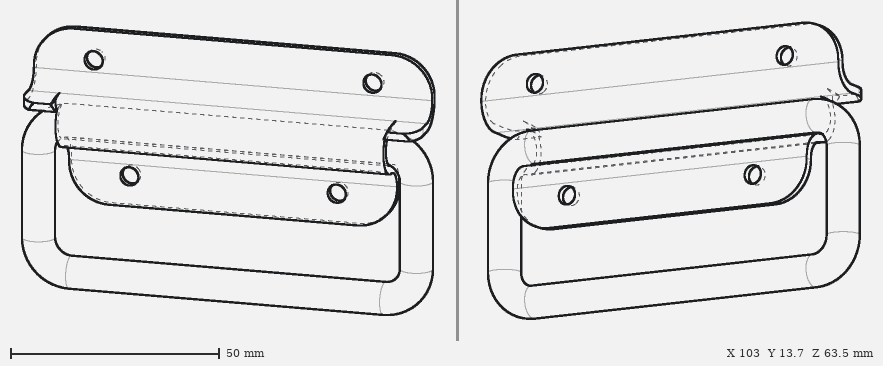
import cadquery as cq
import math

sheet = 2.1
curl_outer = 6.6
curl_inner = curl_outer - sheet
back_y = curl_outer
front_y = back_y - sheet
bend_z = curl_inner + curl_outer
plate_half_height = 21.6
upper_half_width = 50.1
lower_half_width = 41.2
plate_corner = 10.0

hole_diameter = 4.5
hole_z = 14.1
upper_hole_x = 35.0
lower_hole_x = 26.1

lug_inner_x = 41.2
lug_bend_radius = 28.8
lug_reach = 7.1
lug_corner = 4.1
lug_slope_x = 42.2
lug_slope_drop = 2.0
lug_slope_top = 5.7

overall_width = 103.0
rod_diameter = 8.0
handle_bend = 8.0
handle_drop = 37.9


def leaf(half_width, side):
    """Flat leaf with rounded far corners; side is 1 for the upper leaf, -1 for the lower."""
    height = plate_half_height - bend_z
    return (
        cq.Workplane("XY")
        .box(2 * half_width, sheet, height, centered=(True, False, False))
        .translate((0, front_y, bend_z))
        .edges("|Y and >Z")
        .fillet(plate_corner)
        .rotate((0, 0, 0), (0, 1, 0), 0 if side > 0 else 180)
    )


def bend(half_width, side):
    """Quarter bend that leads from a leaf forward to the hinge axis."""
    diagonal = math.sqrt(0.5)
    centre_z = side * bend_z
    return (
        cq.Workplane("YZ", origin=(-half_width, 0, 0))
        .moveTo(back_y, centre_z)
        .threePointArc(
            (curl_outer * diagonal, centre_z - side * curl_outer * diagonal),
            (0, side * curl_inner),
        )
        .lineTo(0, side * curl_outer)
        .threePointArc(
            (curl_inner * diagonal, centre_z - side * curl_inner * diagonal),
            (front_y, centre_z),
        )
        .close()
        .extrude(2 * half_width)
    )


def curl():
    """Half tube in front of the rod, joining the two bends."""
    return (
        cq.Workplane("YZ", origin=(-lower_half_width, 0, 0))
        .moveTo(0, curl_outer)
        .threePointArc((-curl_outer, 0), (0, -curl_outer))
        .lineTo(0, -curl_inner)
        .threePointArc((-curl_inner, 0), (0, curl_inner))
        .close()
        .extrude(2 * lower_half_width)
    )


def lug_end_cutter():
    """Space above the curl that slopes the inner end of the lug down to the curl."""
    wedge = (
        cq.Workplane("XZ")
        .moveTo(lug_inner_x, curl_outer)
        .lineTo(lug_slope_x, curl_outer)
        .lineTo(lug_slope_x, lug_slope_top)
        .lineTo(lug_inner_x, lug_slope_top - lug_slope_drop)
        .close()
        .extrude(lug_reach)
    )
    curl_surface = (
        cq.Workplane("YZ", origin=(lug_inner_x, 0, 0))
        .circle(curl_outer)
        .extrude(lug_slope_x - lug_inner_x)
    )
    return wedge.cut(curl_surface)


def lug(side):
    """Stop lug at one end of the upper leaf, with its outer front corner rounded."""
    centre_z = curl_outer - lug_bend_radius
    inner_radius = lug_bend_radius - sheet
    tip_angle = math.asin(lug_reach / lug_bend_radius)

    def on_arc(radius, angle):
        return (-radius * math.sin(angle), centre_z + radius * math.cos(angle))

    width = upper_half_width - lug_inner_x
    strip = (
        cq.Workplane("YZ", origin=(lug_inner_x, 0, 0))
        .moveTo(0, curl_outer)
        .threePointArc(on_arc(lug_bend_radius, tip_angle / 2), on_arc(lug_bend_radius, tip_angle))
        .lineTo(*on_arc(inner_radius, tip_angle))
        .threePointArc(on_arc(inner_radius, tip_angle / 2), (0, curl_inner))
        .close()
        .extrude(width)
    )
    outline = (
        cq.Workplane("XY")
        .box(width, lug_reach, curl_outer, centered=False)
        .translate((lug_inner_x, -lug_reach, 0))
        .edges("|Z and >X and <Y")
        .fillet(lug_corner)
    )
    shape = strip.intersect(outline).cut(lug_end_cutter())
    return shape if side > 0 else shape.mirror("YZ")


def screw_holes():
    """Cutters for the two holes in each leaf."""
    centres = [(side * upper_hole_x, hole_z) for side in (-1, 1)]
    centres += [(side * lower_hole_x, -hole_z) for side in (-1, 1)]
    return (
        cq.Workplane("XZ", origin=(0, back_y, 0))
        .pushPoints(centres)
        .circle(hole_diameter / 2)
        .extrude(sheet)
    )


def make_hinge_plate():
    plate = curl()
    for half_width, side in ((upper_half_width, 1), (lower_half_width, -1)):
        plate = plate.union(bend(half_width, side)).union(leaf(half_width, side))
    for side in (-1, 1):
        plate = plate.union(lug(side))
    return plate.cut(screw_holes())


def make_handle():
    """Round rod bent into a closed rectangular loop, the top bar on the hinge axis."""
    half_width = (overall_width - rod_diameter) / 2
    straight_x = half_width - handle_bend
    side_top = -handle_bend
    side_bottom = handle_bend - handle_drop
    path = (
        cq.Workplane("XZ")
        .moveTo(0, 0)
        .lineTo(straight_x, 0)
        .tangentArcPoint((half_width, side_top), relative=False)
        .lineTo(half_width, side_bottom)
        .tangentArcPoint((straight_x, -handle_drop), relative=False)
        .lineTo(-straight_x, -handle_drop)
        .tangentArcPoint((-half_width, side_bottom), relative=False)
        .lineTo(-half_width, side_top)
        .tangentArcPoint((-straight_x, 0), relative=False)
        .close()
    )
    return cq.Workplane("YZ").circle(rod_diameter / 2).sweep(path)


hinge_plate = make_hinge_plate()
handle = make_handle()

result = cq.Compound.makeCompound([hinge_plate.val(), handle.val()])